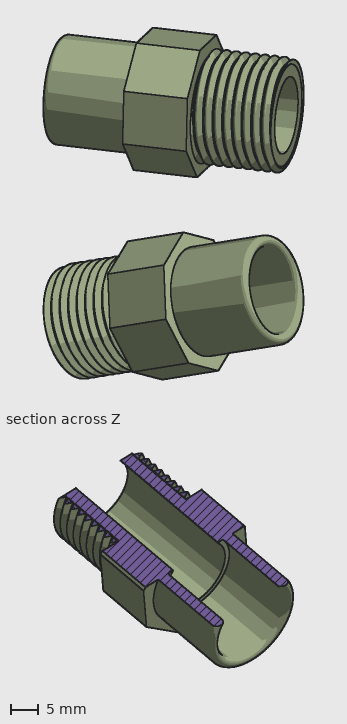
import cadquery as cq
import math

TOTAL_LENGTH = 43.0
TUBE_LENGTH = 16.0
NUT_LENGTH = 12.0
NUT_END = TUBE_LENGTH + NUT_LENGTH
THREAD_LENGTH = TOTAL_LENGTH - NUT_END

TUBE_OUTER_DIA = 20.0
TUBE_BORE_DIA = 16.0
TUBE_WALL = (TUBE_OUTER_DIA - TUBE_BORE_DIA) / 2
RIM_RADIUS = TUBE_WALL / 2

BORE_DIA = 14.0

NUT_SIDES = 8
NUT_ACROSS_FLATS = 24.0
NUT_ACROSS_CORNERS = NUT_ACROSS_FLATS / math.cos(math.pi / NUT_SIDES)
NUT_TILT = 4.0
NUT_TURN = 180.0 / NUT_SIDES - NUT_TILT

CORE_DIA = 18.58
THREAD_DIA = 20.95
CORE_RADIUS = CORE_DIA / 2
THREAD_RADIUS = THREAD_DIA / 2
GAUGE_LENGTH = 25.4
TURNS_PER_GAUGE_LENGTH = 14
THREAD_PITCH = GAUGE_LENGTH / TURNS_PER_GAUGE_LENGTH
FLANK_ANGLE = math.radians(27.5)
CREST_RADIUS = 0.2
ROOT_RADIUS = 0.17
ROOT_DIP = 0.02
BASE_RADIUS = CORE_RADIUS - ROOT_DIP
FIRST_CREST_X = 28.9
OVERRUN = 2 * THREAD_PITCH


def x_cylinder(start, length, diameter):
    """Cylinder about the X axis."""
    return cq.Workplane("YZ", origin=(start, 0, 0)).circle(diameter / 2).extrude(length)


def make_tube():
    """Plain tube section with a fully rounded rim at its open end."""
    outer_radius = TUBE_OUTER_DIA / 2
    bore_radius = TUBE_BORE_DIA / 2
    profile = (
        cq.Workplane("XY")
        .moveTo(TUBE_LENGTH, bore_radius)
        .lineTo(RIM_RADIUS, bore_radius)
        .threePointArc((0, bore_radius + RIM_RADIUS), (RIM_RADIUS, outer_radius))
        .lineTo(TUBE_LENGTH, outer_radius)
        .close()
    )
    return profile.revolve(360, (0, 0, 0), (1, 0, 0))


def make_nut():
    """Octagonal grip section."""
    octagon = cq.Workplane("YZ", origin=(TUBE_LENGTH, 0, 0)).polygon(NUT_SIDES, NUT_ACROSS_CORNERS)
    return octagon.extrude(NUT_LENGTH).rotate((0, 0, 0), (1, 0, 0), NUT_TURN)


def make_fitting():
    """Tube, nut and the plain core under the thread, with the through bore."""
    core = x_cylinder(NUT_END, THREAD_LENGTH, CORE_DIA)
    bore = x_cylinder(TUBE_LENGTH, TOTAL_LENGTH - TUBE_LENGTH, BORE_DIA)
    return make_nut().union(core).cut(bore).union(make_tube())


def ridge_section():
    """Ridge section with a rounded crest and rounded roots, tangent to straight flanks."""
    depth = THREAD_RADIUS - BASE_RADIUS
    round_run = (CREST_RADIUS + ROOT_RADIUS) * (1 - math.sin(FLANK_ANGLE)) / math.cos(FLANK_ANGLE)
    half_base = depth * math.tan(FLANK_ANGLE) + round_run

    crest_end = (
        THREAD_RADIUS - CREST_RADIUS * (1 - math.sin(FLANK_ANGLE)),
        CREST_RADIUS * math.cos(FLANK_ANGLE),
    )
    root_end = (
        BASE_RADIUS + ROOT_RADIUS * (1 - math.sin(FLANK_ANGLE)),
        half_base - ROOT_RADIUS * math.cos(FLANK_ANGLE),
    )
    mid_angle = (math.pi / 2 - FLANK_ANGLE) / 2
    root_mid = (
        BASE_RADIUS + ROOT_RADIUS * (1 - math.cos(mid_angle)),
        half_base - ROOT_RADIUS * math.sin(mid_angle),
    )

    def mirrored(point):
        return point[0], -point[1]

    return (
        cq.Workplane("XZ")
        .moveTo(BASE_RADIUS, -half_base)
        .threePointArc(mirrored(root_mid), mirrored(root_end))
        .lineTo(*mirrored(crest_end))
        .threePointArc((THREAD_RADIUS, 0), crest_end)
        .lineTo(*root_end)
        .threePointArc(root_mid, (BASE_RADIUS, half_base))
        .close()
    )


def make_thread():
    """Helical ridge on the core, trimmed flush with the nut face and the end face."""
    start_x = FIRST_CREST_X - OVERRUN
    height = THREAD_LENGTH + 2 * OVERRUN

    helix = cq.Wire.makeHelix(THREAD_PITCH, height, BASE_RADIUS)
    ridge = ridge_section().sweep(cq.Workplane(helix), isFrenet=True)

    ridge = ridge.rotate((0, 0, 0), (0, 1, 0), 90).rotate((0, 0, 0), (1, 0, 0), 180)
    ridge = ridge.translate((start_x, 0, 0))

    threaded_zone = x_cylinder(NUT_END, THREAD_LENGTH, NUT_ACROSS_CORNERS)
    core = x_cylinder(NUT_END, THREAD_LENGTH, CORE_DIA)
    return ridge.intersect(threaded_zone).cut(core)


fitting = make_fitting()
thread = make_thread()

result = cq.Compound.makeCompound([fitting.solids().val(), thread.solids().val()])